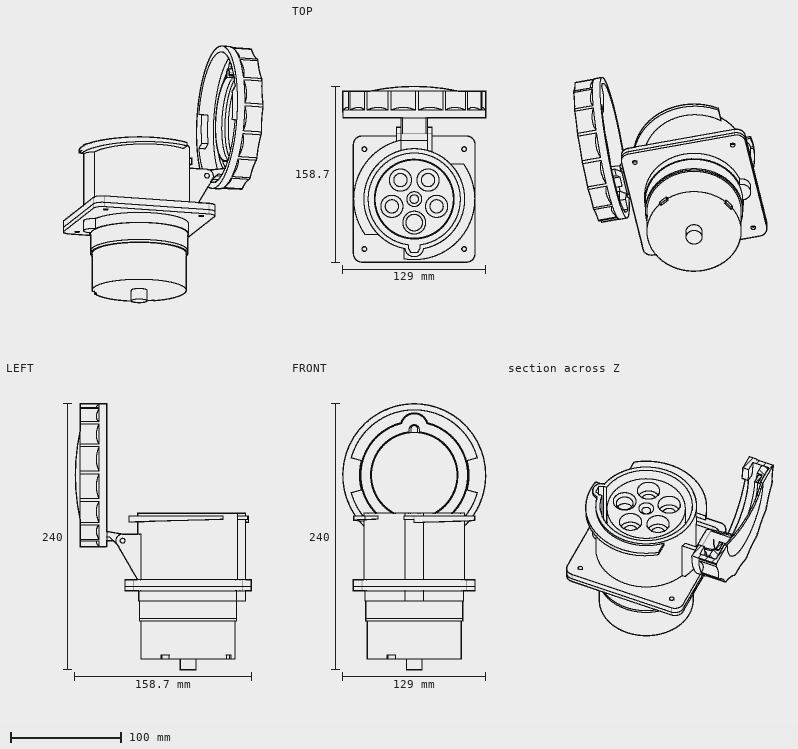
import cadquery as cq
import math

gasket_thickness = 4.0
flange_thickness = 6.0
flange_top = gasket_thickness + flange_thickness
rim_top = 70.0
collar_bottom = -9.2

flange_width = 110.0
flange_length = 114.0
flange_corner_radius = 8.0
screw_pitch = 90.0
screw_hole_diameter = 4.0
barrel_radius = 45.5
collar_radius = 44.6
bore_radius = 41.6
key_offset = 43.6
key_rib_radius = 8.4
keyway_half_width = 5.2
keyway_tip_half_width = 3.2
keyway_shoulder_y = -44.2
keyway_tip_y = -48.2
channel_floor = 20.0
sleeve_radius = 36.0

wing_radius = 54.6
wing_top = rim_top - 2.4
wing_thin = 3.3
wing_thick = 6.0
wing_end_y = 31.7
wing_tail = 9.1
ramp_angle = 140.0
ramp_pitch = 8.1

hinge_y = 59.0
hinge_z = 45.2
knuckle_radius = 6.0
hinge_pin_radius = 2.2
arm_half_width = 12.1
cheek_thickness = 4.0
bracket_slant = math.radians(60)

carrier_top = rim_top - 4.3
core_radius = 35.3
carrier_flange_radius = 43.9
carrier_bottom = -24.9
socket_count = 5
socket_circle_radius = 21.2
socket_radius = 10.0
contact_radius = 6.0
socket_depth = 12.0
contact_depth = 10.0
earth_radius = 7.5
pilot_radius = 3.9
countersink_depth = 2.8

cup_flange_thickness = 2.4
cup_radius = 42.5
cup_bottom = -61.5
stub_radius = 7.2
stub_length = 9.8
notch_angles = (150.5, 240.5)
notch_width = 8.5
notch_height = 3.5
notch_depth = 2.0

ring_radius = 64.5
ring_z = 104.2
ring_front = 73.2
ring_back = 97.4
ring_opening_radius = 59.0
tab_inner_radius = 49.5
tab_thickness = 6.0
tab_half_angle = 15.5
scallop_count = 16
scallop_phase = 2.2
scallop_depth = 2.5
scallop_chord = 22.5
scallop_front = 80.2
lid_face = 87.5
lid_seat = 94.4
dome_radius = 40.0
dome_apex = 101.7
dome_wall = 2.0
lip_tip = 83.5
lip_outer_radius = 39.4
lip_inner_radius = 38.6
lip_key_half_width = 4.6
lip_key_reach = 45.6
lip_key_hollow_half_width = 3.0
seal_recess_radius = 48.9
seal_recess_lobe = 12.6
seal_gap = 0.8
seal_face = 89.5
seal_back = 92.5

rib_slope = 0.17
arm_bottom = 48.4
arm_rib_thickness = 1.6
arm_spine_half_width = 5.0
arm_spine_bottom = 45.0


def cylinder(radius, bottom, top, x=0, y=0):
    return cq.Workplane("XY", origin=(x, y, bottom)).circle(radius).extrude(top - bottom)


def cone(bottom_radius, top_radius, bottom, top, x=0, y=0):
    plane = cq.Workplane("XY", origin=(x, y, bottom)).circle(bottom_radius)
    return plane.workplane(offset=top - bottom).circle(top_radius).loft()


def lid_cylinder(radius, front, back, height=0):
    """Cylinder along Y about the lid axis, or about a parallel axis lifted by height."""
    plane = cq.Workplane("XZ", origin=(0, front, ring_z + height))
    return plane.circle(radius).extrude(front - back)


def block(x_range, y_range, z_range):
    (x0, x1), (y0, y1), (z0, z1) = x_range, y_range, z_range
    return cq.Workplane("XY").box(x1 - x0, y1 - y0, z1 - z0, centered=False).translate((x0, y0, z0))


def rounded_plate(bottom, thickness):
    plate = cq.Workplane("XY", origin=(0, 0, bottom)).rect(flange_width, flange_length).extrude(thickness)
    plate = plate.edges("|Z").fillet(flange_corner_radius)
    holes = cq.Workplane("XY", origin=(0, 0, bottom)).rect(screw_pitch, screw_pitch, forConstruction=True)
    return plate.cut(holes.vertices().circle(screw_hole_diameter / 2).extrude(thickness))


def barrel_outline():
    """Barrel above the gasket, narrower collar below it and the key rib along both."""
    barrel = cylinder(barrel_radius, gasket_thickness, rim_top)
    collar = cylinder(collar_radius, collar_bottom, gasket_thickness)
    rib = cylinder(key_rib_radius, collar_bottom, rim_top, y=-key_offset)
    return barrel.union(collar).union(rib)


def ramped_wing():
    """Bayonet wing on the +X side; its underside climbs from the thick front end to the thin rear end."""
    inner_radius = bore_radius + 1
    band_height = 2 * wing_thick
    path = cq.Wire.makeHelix(ramp_pitch, ramp_pitch * ramp_angle / 360, wing_radius)
    band = (
        cq.Workplane("XZ")
        .center((inner_radius + wing_radius) / 2, band_height / 2)
        .rect(wing_radius - inner_radius, band_height)
        .sweep(cq.Workplane(path), isFrenet=True)
    )
    band = band.rotate((0, 0, 0), (0, 0, 1), -90).translate((0, 0, wing_top - wing_thick))
    keep = block((0, wing_radius), (-wing_radius, wing_end_y), (wing_top - wing_thick, wing_top))
    tail = cylinder(wing_radius, wing_top - wing_thin, wing_top)
    tail = tail.intersect(block((-wing_tail, 0), (-wing_radius, -key_offset), (0, rim_top)))
    return band.intersect(keep).union(tail)


def hinge_cylinder(radius, half_length):
    plane = cq.Workplane("YZ", origin=(-half_length, hinge_y, hinge_z))
    return plane.circle(radius).extrude(2 * half_length)


def bracket():
    """Two cheeks with a sloping web between them, rising from the flange to the hinge axis."""
    half_width = arm_half_width + cheek_thickness
    tangent_y = hinge_y + knuckle_radius * math.sin(bracket_slant)
    tangent_z = hinge_z - knuckle_radius * math.cos(bracket_slant)
    foot_y = tangent_y - (tangent_z - flange_top) / math.tan(bracket_slant)
    cheeks = (
        cq.Workplane("YZ", origin=(-half_width, 0, 0))
        .moveTo(0, flange_top)
        .lineTo(foot_y, flange_top)
        .lineTo(tangent_y, tangent_z)
        .threePointArc((hinge_y + knuckle_radius, hinge_z), (hinge_y, hinge_z + knuckle_radius))
        .lineTo(0, hinge_z + knuckle_radius)
        .close()
        .extrude(2 * half_width)
    )
    web_foot_y = hinge_y - (hinge_z - flange_top) / math.tan(bracket_slant)
    opening = (
        cq.Workplane("YZ", origin=(-arm_half_width, 0, 0))
        .moveTo(web_foot_y, flange_top)
        .lineTo(hinge_y, hinge_z)
        .lineTo(hinge_y, rim_top)
        .lineTo(0, rim_top)
        .lineTo(0, flange_top)
        .close()
        .extrude(2 * arm_half_width)
    )
    cheeks = cheeks.cut(opening).cut(hinge_cylinder(knuckle_radius, arm_half_width))
    return cheeks.cut(hinge_cylinder(hinge_pin_radius, half_width))


def make_housing():
    left_wing = ramped_wing().rotate((0, 0, 0), (0, 0, 1), 180)
    arm_clearance = block((-arm_half_width, arm_half_width), (0, wing_radius), (hinge_z, rim_top))
    housing = (
        barrel_outline()
        .union(rounded_plate(gasket_thickness, flange_thickness))
        .union(ramped_wing())
        .union(left_wing.cut(arm_clearance))
        .union(bracket())
    )
    keyway = (
        cq.Workplane("XY", origin=(0, 0, channel_floor))
        .moveTo(-keyway_half_width, 0)
        .lineTo(-keyway_half_width, keyway_shoulder_y)
        .lineTo(-keyway_tip_half_width, keyway_tip_y)
        .lineTo(keyway_tip_half_width, keyway_tip_y)
        .lineTo(keyway_half_width, keyway_shoulder_y)
        .lineTo(keyway_half_width, 0)
        .close()
        .extrude(rim_top - channel_floor)
    )
    housing = housing.cut(cylinder(sleeve_radius, collar_bottom, channel_floor))
    return housing.cut(cylinder(bore_radius, channel_floor, rim_top)).cut(keyway)


def make_flange_gasket():
    return rounded_plate(0, gasket_thickness).cut(barrel_outline())


def countersunk_hole(radius, x, y):
    bore = cylinder(radius, carrier_top - socket_depth, carrier_top, x, y)
    return bore.union(cone(radius, radius + countersink_depth, carrier_top - countersink_depth, carrier_top, x, y))


def make_carrier():
    core = cylinder(core_radius, collar_bottom, carrier_top)
    carrier = core.union(cylinder(carrier_flange_radius, carrier_bottom, collar_bottom))
    for index in range(socket_count):
        angle = math.radians(-90 + index * 360 / socket_count)
        x = socket_circle_radius * math.cos(angle)
        y = socket_circle_radius * math.sin(angle)
        if index == 0:
            carrier = carrier.cut(countersunk_hole(earth_radius, x, y))
            continue
        socket_floor = carrier_top - socket_depth
        carrier = carrier.cut(cylinder(socket_radius, socket_floor, carrier_top, x, y))
        carrier = carrier.cut(cylinder(contact_radius, socket_floor - contact_depth, socket_floor, x, y))
    return carrier.cut(countersunk_hole(pilot_radius, 0, 0))


def make_cup():
    flange_bottom = carrier_bottom - cup_flange_thickness
    cup = cylinder(carrier_flange_radius, flange_bottom, carrier_bottom)
    cup = cup.union(cylinder(cup_radius, cup_bottom, flange_bottom))
    cup = cup.union(cylinder(stub_radius, cup_bottom - stub_length, cup_bottom))
    notch = block(
        (cup_radius - notch_depth, cup_radius + notch_depth),
        (-notch_width / 2, notch_width / 2),
        (cup_bottom, cup_bottom + notch_height),
    )
    for angle in notch_angles:
        cup = cup.cut(notch.rotate((0, 0, 0), (0, 0, 1), angle))
    return cup


def make_coupling_ring():
    ring = lid_cylinder(ring_radius, ring_front, ring_back)
    bore = lid_cylinder(ring_opening_radius, ring_front, lid_seat)
    tab = lid_cylinder(ring_opening_radius, ring_front, ring_front + tab_thickness)
    tab = tab.cut(lid_cylinder(tab_inner_radius, ring_front, ring_front + tab_thickness))
    reach = 2 * ring_radius
    rise = reach * math.tan(math.radians(tab_half_angle))
    wedges = (
        cq.Workplane("XZ", origin=(0, ring_front, ring_z))
        .polyline([(0, 0), (reach, rise), (reach, -rise)])
        .close()
        .extrude(-tab_thickness)
    )
    wedges = wedges.union(wedges.mirror("YZ"))
    ring = ring.cut(bore.cut(tab.intersect(wedges)))
    ring = ring.cut(lid_cylinder(dome_radius, lid_seat, ring_back))
    flat_sag = ring_radius - math.sqrt(ring_radius**2 - (scallop_chord / 2) ** 2)
    hollow = scallop_depth - flat_sag
    flute_radius = ((scallop_chord / 2) ** 2 + hollow**2) / (2 * hollow)
    flute_height = ring_radius - scallop_depth + flute_radius
    flute = lid_cylinder(flute_radius, scallop_front, ring_back, flute_height)
    scallop_length = ring_back - scallop_front
    core = cq.Workplane("XZ", origin=(0, scallop_front, ring_z)).circle(ring_radius)
    core = core.workplane(offset=-scallop_length).circle(ring_radius - scallop_length).loft()
    flute = flute.cut(core)
    axis_start = (0, 0, ring_z)
    axis_end = (0, 1, ring_z)
    for index in range(scallop_count):
        angle = scallop_phase + (index + 0.5) * 360 / scallop_count
        ring = ring.cut(flute.rotate(axis_start, axis_end, angle))
    return ring


def keyed_disc(radius, lobe_radius, front, back):
    """Disc about the lid axis with a round lobe at its top that clears the housing's key rib."""
    return lid_cylinder(radius, front, back).union(lid_cylinder(lobe_radius, front, back, key_offset))


def lip_prism(radius, key_half_width, key_reach, front, back):
    """Disc about the lid axis with a round-nosed key at its top."""
    nose_height = key_reach - key_half_width
    stem = (
        cq.Workplane("XZ", origin=(0, front, ring_z))
        .center(0, nose_height / 2)
        .rect(2 * key_half_width, nose_height)
        .extrude(front - back)
    )
    nose = lid_cylinder(key_half_width, front, back, nose_height)
    return lid_cylinder(radius, front, back).union(stem).union(nose)


def lip_outline(front, back):
    return lip_prism(lip_outer_radius, lip_key_half_width, lip_key_reach, front, back)


def dome(base_y, base_radius, apex_y):
    """Spherical cap bulging toward +Y."""
    rise = apex_y - base_y
    return (
        cq.Workplane("XY", origin=(0, 0, ring_z))
        .moveTo(0, base_y)
        .lineTo(base_radius, base_y)
        .threePointArc(cap_point(base_y, base_radius, rise), (0, apex_y))
        .close()
        .revolve(360, (0, 0, 0), (0, 1, 0))
    )


def cap_point(base_y, base_radius, rise):
    """Point halfway along the arc of a cap of the given rise."""
    sphere_radius = (base_radius**2 + rise**2) / (2 * rise)
    half_angle = math.asin(base_radius / sphere_radius) / 2
    centre_y = base_y + rise - sphere_radius
    return sphere_radius * math.sin(half_angle), centre_y + sphere_radius * math.cos(half_angle)


def arm():
    """Channel-shaped arm from the hinge knuckle to the lid face."""
    top_at_knuckle = hinge_z + knuckle_radius
    top_at_lid = top_at_knuckle + (lid_face - hinge_y) * rib_slope
    tangent_y = hinge_y + knuckle_radius * math.sin(math.pi / 4)
    tangent_z = hinge_z - knuckle_radius * math.cos(math.pi / 4)
    bend_y = tangent_y + arm_bottom - tangent_z
    body = (
        cq.Workplane("YZ", origin=(-arm_half_width, 0, 0))
        .moveTo(hinge_y, hinge_z)
        .lineTo(tangent_y, tangent_z)
        .lineTo(bend_y, arm_bottom)
        .lineTo(lid_face, arm_bottom)
        .lineTo(lid_face, top_at_lid)
        .lineTo(hinge_y, top_at_knuckle)
        .close()
        .extrude(2 * arm_half_width)
    )
    spine = block(
        (-arm_spine_half_width, arm_spine_half_width),
        (bend_y - arm_bottom + arm_spine_bottom, lid_face),
        (arm_spine_bottom, arm_bottom),
    )
    body = body.union(hinge_cylinder(knuckle_radius, arm_half_width)).union(spine)
    pocket_half_width = arm_half_width - arm_rib_thickness
    pocket = block(
        (-pocket_half_width, pocket_half_width), (hinge_y, lid_face), (top_at_knuckle, top_at_lid)
    )
    return body.cut(pocket).cut(hinge_cylinder(hinge_pin_radius, arm_half_width))


def make_lid(ring):
    floor_y = ring_back - dome_wall
    plate = lid_cylinder(ring_opening_radius, lid_face, lid_seat)
    hub = lid_cylinder(dome_radius, lid_seat, ring_back)
    lip = lip_outline(lip_tip, lid_face)
    recess = keyed_disc(seal_recess_radius, seal_recess_lobe, lid_face, seal_back)
    recess = recess.cut(lip_outline(lid_face, seal_back))
    hollow_reach = lip_key_reach - lip_outer_radius + lip_inner_radius
    key_hollow = lip_prism(lip_inner_radius, lip_key_hollow_half_width, hollow_reach, lip_tip, seal_back)
    lid = plate.union(hub).union(dome(ring_back, dome_radius, dome_apex)).union(lip).union(arm().cut(ring))
    lid = lid.cut(recess).cut(key_hollow)
    lid = lid.cut(lid_cylinder(lip_inner_radius, seal_back, floor_y))
    return lid.cut(dome(floor_y, lip_inner_radius, dome_apex - dome_wall))


def make_lid_seal():
    seal = keyed_disc(seal_recess_radius - seal_gap, seal_recess_lobe - seal_gap, seal_face, seal_back)
    return seal.cut(lip_outline(seal_face, seal_back))


def make_hinge_pin():
    return hinge_cylinder(hinge_pin_radius, arm_half_width + cheek_thickness)


housing = make_housing()
flange_gasket = make_flange_gasket()
carrier = make_carrier()
cup = make_cup()
coupling_ring = make_coupling_ring()
lid = make_lid(coupling_ring)
lid_seal = make_lid_seal()
hinge_pin = make_hinge_pin()

result = cq.Compound.makeCompound(
    [
        housing.val(),
        flange_gasket.val(),
        carrier.val(),
        cup.val(),
        coupling_ring.val(),
        lid.val(),
        lid_seal.val(),
        hinge_pin.val(),
    ]
)